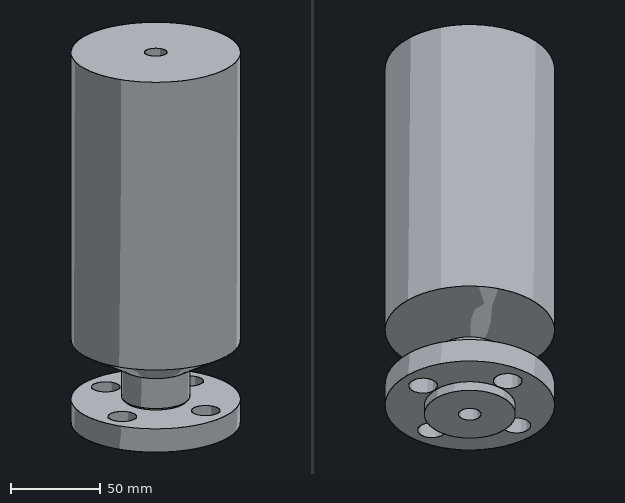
import cadquery as cq

body_diameter = 95.2
neck_diameter = 38.3
spigot_diameter = 51.0
bore_diameter = 12.5

total_height = 227.8
spigot_height = 5.7
flange_thickness = 14.1
neck_base_chamfer = 1.4
cone_bottom_z = 39.2
cone_top_z = 55.1

bolt_hole_count = 4
bolt_hole_diameter = 16.0
bolt_circle_radius = 33.7

body_radius = body_diameter / 2
neck_radius = neck_diameter / 2
spigot_radius = spigot_diameter / 2
flange_top_z = spigot_height + flange_thickness


def turned_body():
    """Revolve the half outline of spigot, flange, neck, cone and cylinder about Z."""
    outline = [
        (0, 0),
        (spigot_radius, 0),
        (spigot_radius, spigot_height),
        (body_radius, spigot_height),
        (body_radius, flange_top_z),
        (neck_radius - neck_base_chamfer, flange_top_z),
        (neck_radius, flange_top_z + neck_base_chamfer),
        (neck_radius, cone_bottom_z),
        (body_radius, cone_top_z),
        (body_radius, total_height),
        (0, total_height),
    ]
    return cq.Workplane("XZ").polyline(outline).close().revolve(360, (0, 0), (0, 1))


def center_bore():
    """Cylinder that removes the bore through the full height."""
    return cq.Workplane("XY").circle(bore_diameter / 2).extrude(total_height)


def bolt_holes():
    """Cylinders that remove the bolt holes, on the X and Y axes, through the flange."""
    return (
        cq.Workplane("XY", origin=(0, 0, spigot_height))
        .polarArray(bolt_circle_radius, 0, 360, bolt_hole_count)
        .circle(bolt_hole_diameter / 2)
        .extrude(flange_thickness)
    )


result = turned_body().cut(center_bore()).cut(bolt_holes())